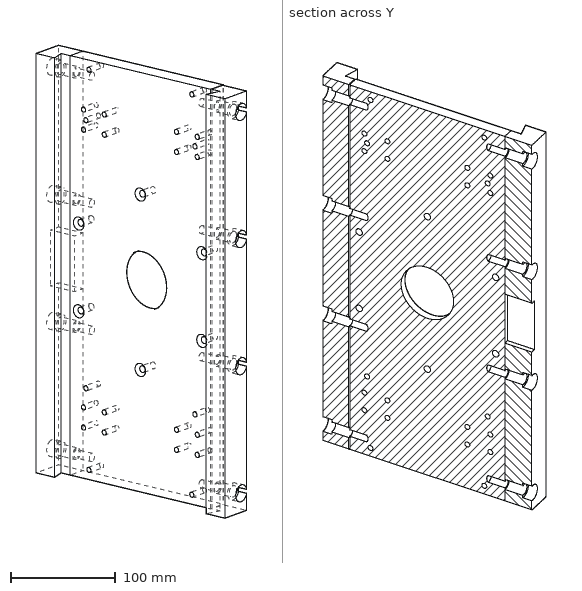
import cadquery as cq
import math

LENGTH = 419.0
WIDTH = 232.5
DEPTH = 34.5

PLATE_THICKNESS = 19.3
PLATE_WIDTH = 172.5
PLATE_FRONT = DEPTH - PLATE_THICKNESS
PLATE_MIDDLE = DEPTH - PLATE_THICKNESS / 2

FOOT_WIDTH = 23.0
NECK_WIDTH = 19.0
GIB_CLEARANCE = 1.0
GIB_BACK_STEP = 1.45
BAR_WIDTH = (WIDTH - PLATE_WIDTH) / 2

NOTCH_LENGTH = 55.7
NOTCH_DEPTH = 12.5

SCREW_PITCH = 127.0
SCREW_COUNT = 4
SCREW_HEAD_DIAMETER = 16.8
SCREW_HEAD_DEPTH = 10.0
SCREW_CLEARANCE_DIAMETER = 11.5
SCREW_TAP_DIAMETER = 8.0
SCREW_TAP_DEPTH = 19.0
DRILL_TIP_ANGLE = 118.0

BORE_DIAMETER = 58.0
BORE_RIM_RADIUS = 6.3

RING_RADIUS = 87.5
RING_COUNT = 6
RING_HOLE_DIAMETER = 6.5
COUNTERSINK_DIAMETER = 13.0
COUNTERSINK_ANGLE = 90.0

SMALL_HOLE_DIAMETER = 5.0
END_HOLE_X = 63.3
END_HOLE_Z = 200.0
CLUSTER_OUTER_X = 70.0
CLUSTER_INNER_X = 44.5
CLUSTER_NEAR_Z = 138.7
CLUSTER_FAR_Z = 159.0
DOWEL_X = 67.0
DOWEL_TOP_Z = 148.8
DOWEL_BOTTOM_Z = -119.0

SCREW_HEIGHTS = [(i - (SCREW_COUNT - 1) / 2) * SCREW_PITCH for i in range(SCREW_COUNT)]


def bore_along_y(x, z, diameter):
    """Cylinder through the full depth of the slide, parallel to Y."""
    return cq.Workplane(cq.Solid.makeCylinder(diameter / 2, DEPTH, cq.Vector(x, 0, z), cq.Vector(0, 1, 0)))


def bore_along_x(start_x, z, diameter, depth, side):
    """Cylinder in the middle of the plate thickness, running from start_x toward X = 0."""
    start = cq.Vector(start_x, PLATE_MIDDLE, z)
    return cq.Workplane(cq.Solid.makeCylinder(diameter / 2, depth, start, cq.Vector(-side, 0, 0)))


def tapped_hole(z, side):
    """Blind hole with a conical drill tip in the plate edge on the given side (-1 or 1)."""
    radius = SCREW_TAP_DIAMETER / 2
    edge_x = side * PLATE_WIDTH / 2
    tip_length = radius / math.tan(math.radians(DRILL_TIP_ANGLE / 2))
    tip_start = cq.Vector(edge_x - side * SCREW_TAP_DEPTH, PLATE_MIDDLE, z)
    tip = cq.Workplane(cq.Solid.makeCone(radius, 0, tip_length, tip_start, cq.Vector(-side, 0, 0)))
    return bore_along_x(edge_x, z, SCREW_TAP_DIAMETER, SCREW_TAP_DEPTH, side).union(tip)


def countersunk_hole(x, z):
    """Through hole with a cone opening at the front face of the plate."""
    radius = COUNTERSINK_DIAMETER / 2
    hole_radius = RING_HOLE_DIAMETER / 2
    cone_depth = (radius - hole_radius) / math.tan(math.radians(COUNTERSINK_ANGLE / 2))
    mouth = cq.Vector(x, PLATE_FRONT, z)
    cone = cq.Workplane(cq.Solid.makeCone(radius, hole_radius, cone_depth, mouth, cq.Vector(0, 1, 0)))
    return bore_along_y(x, z, RING_HOLE_DIAMETER).union(cone)


def small_hole_places():
    """X, Z places of all small through holes."""
    half = [(DOWEL_X, DOWEL_TOP_Z), (DOWEL_X, DOWEL_BOTTOM_Z)]
    for end in (-1, 1):
        half.append((END_HOLE_X, end * END_HOLE_Z))
        for x in (CLUSTER_INNER_X, CLUSTER_OUTER_X):
            half.append((x, end * CLUSTER_NEAR_Z))
            half.append((x, end * CLUSTER_FAR_Z))
    return [(side * x, z) for side in (-1, 1) for x, z in half]


def make_plate():
    plate = cq.Workplane().box(PLATE_WIDTH, PLATE_THICKNESS, LENGTH).translate((0, PLATE_MIDDLE, 0))

    plate = plate.cut(bore_along_y(0, 0, BORE_DIAMETER))
    plate = plate.edges("%CIRCLE").fillet(BORE_RIM_RADIUS)

    for i in range(RING_COUNT):
        angle = 2 * math.pi * i / RING_COUNT
        plate = plate.cut(countersunk_hole(RING_RADIUS * math.sin(angle), RING_RADIUS * math.cos(angle)))

    for x, z in small_hole_places():
        plate = plate.cut(bore_along_y(x, z, SMALL_HOLE_DIAMETER))

    for side in (-1, 1):
        for z in SCREW_HEIGHTS:
            plate = plate.cut(tapped_hole(z, side))
    return plate


def make_bar(side, clearance, back_step):
    """L-shaped bar with an undercut leg and counterbored screw holes, on the given side."""
    outer_x = side * WIDTH / 2
    lip_x = side * (PLATE_WIDTH / 2 + clearance)
    neck_x = outer_x - side * NECK_WIDTH
    foot_x = outer_x - side * FOOT_WIDTH
    back_y = DEPTH - back_step
    lip_y = PLATE_FRONT + clearance
    profile = [
        (outer_x, 0),
        (foot_x, 0),
        (neck_x, lip_y),
        (lip_x, lip_y),
        (lip_x, back_y),
        (outer_x, back_y),
    ]
    bar = cq.Workplane().polyline(profile).close().extrude(LENGTH / 2, both=True)
    for z in SCREW_HEIGHTS:
        bar = bar.cut(bore_along_x(outer_x, z, SCREW_CLEARANCE_DIAMETER, BAR_WIDTH, side))
        bar = bar.cut(bore_along_x(outer_x, z, SCREW_HEAD_DIAMETER, SCREW_HEAD_DEPTH, side))
    return bar


def make_fixed_bar():
    """Bar flush with the plate, with a notch across the middle of its back."""
    notch_x = -(WIDTH - BAR_WIDTH) / 2
    notch_y = DEPTH - NOTCH_DEPTH / 2
    notch = cq.Workplane().box(BAR_WIDTH, NOTCH_DEPTH, NOTCH_LENGTH).translate((notch_x, notch_y, 0))
    return make_bar(-1, 0, 0).cut(notch)


def make_gib():
    """Adjustable bar, set off slightly from the plate."""
    return make_bar(1, GIB_CLEARANCE, GIB_BACK_STEP)


plate = make_plate()
fixed_bar = make_fixed_bar()
gib = make_gib()

result = cq.Compound.makeCompound([plate.val(), fixed_bar.val(), gib.val()])